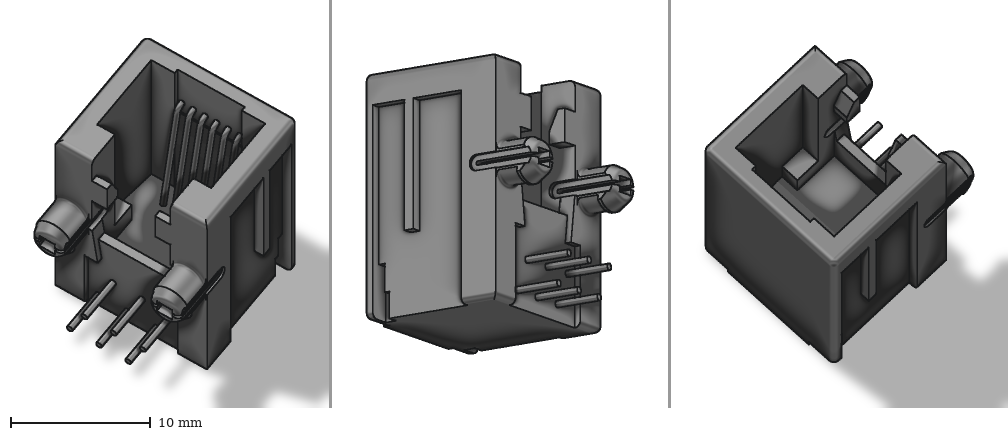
import cadquery as cq
import math


width = 13.2
depth = 11.5
height = 18.1
edge_radius = 0.5
half_width = width / 2
through = 2 * height

cavity_half = 4.95
cavity_back = 9.8
lip_back = 2.93
floor_z = 5.1
floor_ridge_y = 5.55
floor_back_z = 4.04
shelf_z = 6.9
shelf_back = 5.05

opening_half = 3.4
neck_half = 2.9
taper_top_z = 9.86
insert_half = 4.07
insert_shoulder_z = 6.01
insert_top_z = 8.1
insert_front = 0.5
insert_back = 1.27

tab_tip = 2.08
tab_bottom = 13.25
tab_ramp_start = 14.2
tab_top = 15.75
tab_thick = 1.34
tab_thin = 0.6

groove_half = 2.91
groove_back = 10.17
comb_top_z = 13.1
comb_top_front = 10.05
comb_ramp_top_z = 10.99
comb_ramp_bottom_z = 9.65
comb_front = 9.74

contact_count = 6
contact_pitch = 1.01
contact_radius = 0.24
contact_foot = (7.7, 4.07)
contact_bend = (9.52, 13.75)
contact_end = (10.4, 14.3)

pin_radius = 0.25
pin_pitch = 1.27
pin_tip_y = -3.15
pin_row_low = 1.3
pin_row_high = 3.8

peg_x = 5.09
peg_z = 10.19
peg_radius = 1.61
peg_length = 3.2
peg_half = 1.41
peg_root_radius = 1.88
peg_root = 0.27
cone_start = 2.39
cone_end = 2.97
cone_end_radius = 1.3
tip_radius = 0.92
barb_radius = 1.8
barb_start = 1.8
barb_end = 2.05
peg_hole_width = 1.34
peg_hole_height = 1.2
peg_hole_depth = 2.26
slit_height = 0.3
relief_height = peg_hole_height
slot_center_depth = 1.67
relief_half = 1.3

pocket_depth = 0.8
pocket_front = 3.0
pocket_back = 10.72
pocket_top = 15.73
rib_front = 7.17
rib_back = 7.95
rib_bottom = 6.08
notch_inner_x = cavity_half
notch_high_z = 4.1
notch_high_front = 10.19
notch_low_z = 2.0
notch_low_front = 9.83


def box(x, y, z):
    """Box from (min, max) pairs along each axis."""
    size = [high - low for low, high in (x, y, z)]
    return cq.Workplane("XY").box(*size, centered=False).translate((x[0], y[0], z[0]))


def both_sides(solid):
    """The solid together with its mirror image across x = 0."""
    return solid.union(solid.mirror("YZ"))


def prism_x(points, x_from, x_to):
    """Extrude a (y, z) outline along X."""
    return cq.Workplane("YZ").workplane(offset=x_from).polyline(points).close().extrude(x_to - x_from)


def prism_y(points, y_from, y_to):
    """Extrude an (x, z) outline along Y."""
    plane = cq.Workplane("XZ").workplane(offset=-y_from)
    return plane.polyline(points).close().extrude(y_from - y_to)


def make_shell():
    shell = box((-half_width, half_width), (0, depth), (0, height))
    shell = shell.edges("|Z and >Y").fillet(edge_radius)
    shell = shell.faces(">Z or <Z").edges().fillet(edge_radius)
    foot = box((-insert_half, insert_half), (depth - edge_radius, depth), (0, edge_radius))
    return shell.union(foot)


def make_cavity():
    outline = [
        (lip_back, floor_z),
        (floor_ridge_y, floor_z),
        (cavity_back, floor_back_z),
        (cavity_back, through),
        (lip_back, through),
    ]
    cavity = prism_x(outline, -cavity_half, cavity_half)
    shelf = box((opening_half, cavity_half), (lip_back, shelf_back), (0, shelf_z))
    return cavity.cut(both_sides(shelf))


def make_latch_opening():
    inner = box((-opening_half, opening_half), (insert_back, lip_back), (floor_z, through))
    half_outline = [
        (0, 0),
        (insert_half, 0),
        (insert_half, insert_shoulder_z),
        (neck_half, insert_shoulder_z),
        (opening_half, taper_top_z),
        (opening_half, through),
        (0, through),
    ]
    outer = both_sides(prism_y(half_outline, 0, insert_back))
    insert = box((-insert_half, insert_half), (insert_front, insert_back), (0, insert_top_z))
    return inner.union(outer.cut(insert))


def make_tabs():
    outline = [
        (0, tab_bottom),
        (tab_thick, tab_bottom),
        (tab_thick, tab_ramp_start),
        (tab_thin, tab_top),
        (0, tab_top),
    ]
    return both_sides(prism_x(outline, tab_tip, opening_half))


def make_contact_groove():
    return box((-groove_half, groove_half), (comb_front, groove_back), (floor_back_z, through))


def make_comb():
    outline = [
        (comb_front, floor_back_z),
        (comb_front, comb_ramp_bottom_z),
        (comb_top_front, comb_ramp_top_z),
        (comb_top_front, comb_top_z),
        (groove_back, comb_top_z),
        (groove_back, floor_back_z),
    ]
    return prism_x(outline, -groove_half, groove_half)


def make_contacts():
    rise = (contact_bend[0] - contact_foot[0], contact_bend[1] - contact_foot[1])
    path = cq.Workplane("YZ").moveTo(*contact_foot).lineTo(*contact_bend)
    path = path.tangentArcPoint(contact_end, relative=False)
    section = cq.Plane(origin=(0, *contact_foot), xDir=(1, 0, 0), normal=(0, *rise))
    wire = cq.Workplane(section).circle(contact_radius).sweep(path)
    first_x = -contact_pitch * (contact_count - 1) / 2
    return [wire.translate((first_x + index * contact_pitch, 0, 0)) for index in range(contact_count)]


def make_pins():
    high_row = [(x * pin_pitch, pin_row_high) for x in (-1.5, 0.5, 2.5)]
    low_row = [(x * pin_pitch, pin_row_low) for x in (-2.5, -0.5, 1.5)]
    plane = cq.Workplane("XZ").workplane(offset=-insert_back)
    return plane.pushPoints(high_row + low_row).circle(pin_radius).extrude(insert_back - pin_tip_y)


def peg_solid(shank):
    """Peg with a flared root and a rounded conical tip; shank lists (radius, distance from the housing)."""
    root_mid = (
        peg_root_radius - (peg_root_radius - peg_radius) * math.sin(math.pi / 4),
        -peg_root * (1 - math.sin(math.pi / 4)),
    )
    profile = cq.Workplane("XY").moveTo(0, insert_front).lineTo(peg_root_radius, insert_front)
    profile = profile.lineTo(peg_root_radius, 0).threePointArc(root_mid, (peg_radius, -peg_root))
    for radius, distance in shank:
        profile = profile.lineTo(radius, -distance)
    profile = profile.lineTo(cone_end_radius, -cone_end)
    profile = profile.tangentArcPoint((tip_radius, -peg_length), relative=False)
    profile = profile.lineTo(0, -peg_length).close()
    return profile.revolve(360, (0, 0, 0), (0, 1, 0))


def make_pegs():
    plain = peg_solid([(peg_radius, cone_start)])
    barbed = peg_solid([(peg_radius, barb_start), (barb_radius, barb_start), (barb_radius, barb_end)])
    flats = (-peg_half, peg_half)
    along = (-peg_length, insert_front)
    upper = plain.intersect(box(flats, along, (0, through)))
    lower = barbed.intersect(box(flats, along, (-through, 0)))
    return both_sides(upper.union(lower).translate((peg_x, 0, peg_z)))


def slot_cut(slot_height, x_from, x_to):
    """Slot open toward -Y with a round end inside the housing."""
    straight = box(
        (x_from, x_to),
        (-through, slot_center_depth),
        (peg_z - slot_height / 2, peg_z + slot_height / 2),
    )
    plane = cq.Workplane("YZ").workplane(offset=x_from).center(slot_center_depth, peg_z)
    return straight.union(plane.circle(slot_height / 2).extrude(x_to - x_from))


def make_peg_cuts():
    slit = slot_cut(slit_height, 0, half_width)
    outer_relief = slot_cut(relief_height, peg_x + relief_half, half_width)
    inner_relief = slot_cut(relief_height, 0, peg_x - relief_half)
    hole = box(
        (peg_x - peg_hole_width / 2, peg_x + peg_hole_width / 2),
        (-through, peg_hole_depth),
        (peg_z - peg_hole_height / 2, peg_z + peg_hole_height / 2),
    )
    return both_sides(slit.union(outer_relief).union(inner_relief).union(hole))


def make_side_pockets():
    pocket_x = (half_width - pocket_depth, half_width)
    pocket = box(pocket_x, (pocket_front, pocket_back), (0, pocket_top))
    rib = box(pocket_x, (rib_front, rib_back), (rib_bottom, pocket_top))
    notch_x = (notch_inner_x, half_width)
    notch_high = box(notch_x, (notch_high_front, pocket_back), (0, notch_high_z))
    notch_low = box(notch_x, (notch_low_front, pocket_back), (0, notch_low_z))
    return both_sides(pocket.cut(rib).union(notch_high).union(notch_low))


result = (
    make_shell()
    .cut(make_cavity())
    .cut(make_latch_opening())
    .cut(make_contact_groove())
    .union(make_comb())
    .cut(make_side_pockets())
    .union(make_pegs())
    .cut(make_peg_cuts())
    .union(make_tabs())
    .union(make_pins())
)
for contact in make_contacts():
    result = result.union(contact)